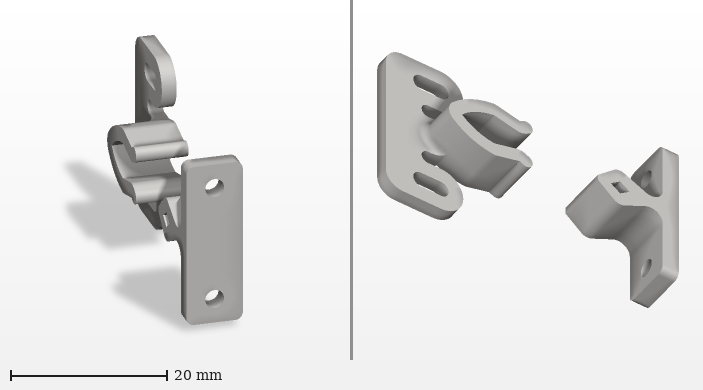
import cadquery as cq
import math

overall_length = 41.5
depth = 7.5

plate_height = 24.0
plate_thickness = 2.0
plate_front = depth - plate_thickness
plate_corner_radius = 2.57
lobe_radius = 3.5
lobe_center_x = 8.45
lobe_center_z = plate_height / 2 - lobe_radius
mount_slot_width = 2.4
mount_slot_start_x = 4.25
tongue_half_height = 3.07
relief_start_x = 5.5
relief_width = lobe_center_z - lobe_radius - tongue_half_height

clip_depth = 7.0
wall = 2.0
throat_x = 8.0
throat_angle = 45.0
belly_x = 13.05
belly_z = 2.45
arm_angle = 14.0
arm_length = 3.53
lip_angle = 28.0
lip_length = 0.62
root_fillet = 1.0

striker_height = 22.08
striker_thickness = 2.5
striker_face_x = overall_length - striker_thickness
striker_corner_radius = 1.0
screw_hole_diameter = 2.5
screw_hole_z = 7.75
barb_tip_x = 29.05
barb_crest_x = 32.45
barb_crest_radius = 1.5
barb_half_height = 2.95
barb_lead_angle = 41.0
neck_half_height = 1.05
neck_radius = 1.83
window_half_length = 1.45
window_half_height = 1.05


def polar(center, radius, angle):
    """Point at an angle in degrees on a circle in the XZ plane."""
    turn = math.radians(angle)
    return (center[0] + radius * math.cos(turn), center[1] + radius * math.sin(turn))


def workplane(y=0.0):
    """XZ sketch plane at y; a negative extrusion goes toward +Y."""
    return cq.Workplane("XZ", origin=(0, y, 0))


def with_mirror(half):
    """Join a half shape with its reflection below z = 0."""
    return half.union(half.mirror("XY"))


def block(x_start, x_end, z_low, z_high, y_start, y_end):
    size = (x_end - x_start, y_end - y_start, z_high - z_low)
    return cq.Workplane("XY").box(*size, centered=False).translate((x_start, y_start, z_low))


throat = (throat_x, 0.0)
belly = (belly_x, belly_z)
chord_angle = math.degrees(math.atan2(belly_z, belly_x - throat_x))
flank_radius = math.hypot(belly_x - throat_x, belly_z) / (2 * math.sin(math.radians(throat_angle - chord_angle)))
flank_center = polar(throat, flank_radius, throat_angle - 90)
flank_start = throat_angle + 90
flank_end = 2 * chord_angle - throat_angle + 90
flank_middle = (flank_start + flank_end) / 2
arm_normal = 90 - arm_angle
lip_normal = 90 + lip_angle


def outer_flank():
    """Open outline of the upper half of the clip back, from its nose to its belly."""
    outer_radius = flank_radius + wall
    return (
        workplane()
        .moveTo(throat_x - wall, 0)
        .threePointArc(polar(throat, wall, (180 + flank_start) / 2), polar(throat, wall, flank_start))
        .threePointArc(polar(flank_center, outer_radius, flank_middle), polar(belly, wall, flank_end))
    )


def make_jaw():
    """Upper jaw of the clip: curved flank, sloping arm and rounded lip."""
    elbow = polar(polar(belly, wall, arm_normal), arm_length, -arm_angle)
    lip_outer = polar(elbow, lip_length, lip_angle)
    lip_center = polar(lip_outer, wall / 2, lip_normal - 180)
    return (
        outer_flank()
        .threePointArc(polar(belly, wall, (flank_end + arm_normal) / 2), polar(belly, wall, arm_normal))
        .lineTo(*elbow)
        .lineTo(*lip_outer)
        .threePointArc(polar(lip_center, wall / 2, lip_angle), polar(lip_outer, wall, lip_normal - 180))
        .lineTo(*polar(elbow, wall, lip_normal - 180))
        .threePointArc(polar(elbow, wall, (lip_normal + arm_normal) / 2 - 180),
                       polar(elbow, wall, arm_normal - 180))
        .lineTo(*belly)
        .threePointArc(polar(flank_center, flank_radius, flank_middle), throat)
        .close()
        .extrude(-clip_depth)
    )


def make_clip_core(core_depth):
    """Clip back filled in, up to the start of the belly."""
    end_x = polar(belly, wall, flank_end)[0]
    return with_mirror(outer_flank().lineTo(end_x, 0).close().extrude(-core_depth))


def make_plate():
    """Mounting plate with two slotted lobes and a relief gap on each side of the tongue."""
    half_height = plate_height / 2
    lobe_end_x = lobe_center_x + lobe_radius
    plate = block(0, lobe_end_x, -half_height, half_height, plate_front, depth)
    plate = plate.edges("|Y and <X").fillet(plate_corner_radius)
    plate = plate.edges("|Y and >X").fillet(lobe_radius)

    relief_radius = relief_width / 2
    relief_z = tongue_half_height + relief_radius
    slot_length = lobe_center_x + mount_slot_width / 2 - mount_slot_start_x
    slot_center_x = mount_slot_start_x + slot_length / 2
    for side in (1, -1):
        slot = (
            workplane(plate_front)
            .center(slot_center_x, side * lobe_center_z)
            .slot2D(slot_length, mount_slot_width)
            .extrude(-plate_thickness)
        )
        gap = (
            workplane(plate_front)
            .moveTo(lobe_end_x, side * tongue_half_height)
            .lineTo(relief_start_x + relief_radius, side * tongue_half_height)
            .threePointArc((relief_start_x, side * relief_z),
                           (relief_start_x + relief_radius, side * (relief_z + relief_radius)))
            .lineTo(lobe_center_x, side * (relief_z + relief_radius))
            .threePointArc(polar((lobe_center_x, side * lobe_center_z), lobe_radius, -45 * side),
                           (lobe_end_x, side * lobe_center_z))
            .close()
            .extrude(-plate_thickness)
        )
        plate = plate.cut(slot).cut(gap)
    return plate.cut(make_clip_core(depth))


def make_root_fillet():
    """Tongue piece with the fillet that blends it into the clip back."""
    core = make_clip_core(clip_depth)
    core_end_x = core.val().BoundingBox().xmax
    tongue = block(0, core_end_x, -plate_height / 2, plate_height / 2, plate_front, clip_depth)
    root = tongue.union(core)
    seam = root.faces("<Y[1]").edges("not(|Z or |X)")
    root = seam.fillet(root_fillet)
    window = block(0, core_end_x, -tongue_half_height, tongue_half_height,
                   plate_front - root_fillet, plate_front)
    return root.intersect(window).cut(core)


def make_clip():
    return make_plate().union(with_mirror(make_jaw())).union(make_root_fillet())


def make_barb():
    """Upper half of the barb, blended into the striker plate by the neck arc."""
    crest = (barb_crest_x, barb_half_height - barb_crest_radius)
    neck = (striker_face_x - neck_radius, neck_half_height + neck_radius)
    run = neck[0] - crest[0]
    rise = neck[1] - crest[1]
    tangent_turn = math.asin((barb_crest_radius + neck_radius) / math.hypot(run, rise))
    trail_normal = 90 - math.degrees(tangent_turn - math.atan2(rise, run))
    lead_normal = 90 + barb_lead_angle
    lead_end = polar(crest, barb_crest_radius, lead_normal)
    tip_half_height = lead_end[1] - (lead_end[0] - barb_tip_x) * math.tan(math.radians(barb_lead_angle))
    return (
        workplane()
        .moveTo(barb_tip_x, 0)
        .lineTo(barb_tip_x, tip_half_height)
        .lineTo(*lead_end)
        .threePointArc(polar(crest, barb_crest_radius, 90), polar(crest, barb_crest_radius, trail_normal))
        .lineTo(*polar(neck, neck_radius, trail_normal - 180))
        .threePointArc(polar(neck, neck_radius, -45), (striker_face_x, neck[1]))
        .lineTo(striker_face_x, 0)
        .close()
        .extrude(-depth)
    )


def make_striker():
    half_height = striker_height / 2
    striker = block(striker_face_x, overall_length, -half_height, half_height, 0, depth)
    striker = striker.edges("|X").fillet(striker_corner_radius)
    striker = striker.union(with_mirror(make_barb()))
    window = (
        workplane()
        .center(barb_crest_x, 0)
        .polyline([(-window_half_length, 0), (0, window_half_height),
                   (window_half_length, 0), (0, -window_half_height)])
        .close()
        .extrude(-depth)
    )
    screw_holes = (
        cq.Workplane("YZ", origin=(striker_face_x, depth / 2, 0))
        .pushPoints([(0, screw_hole_z), (0, -screw_hole_z)])
        .circle(screw_hole_diameter / 2)
        .extrude(striker_thickness)
    )
    return striker.cut(window).cut(screw_holes)


clip = make_clip()
striker = make_striker()
result = cq.Compound.makeCompound([clip.val(), striker.val()])